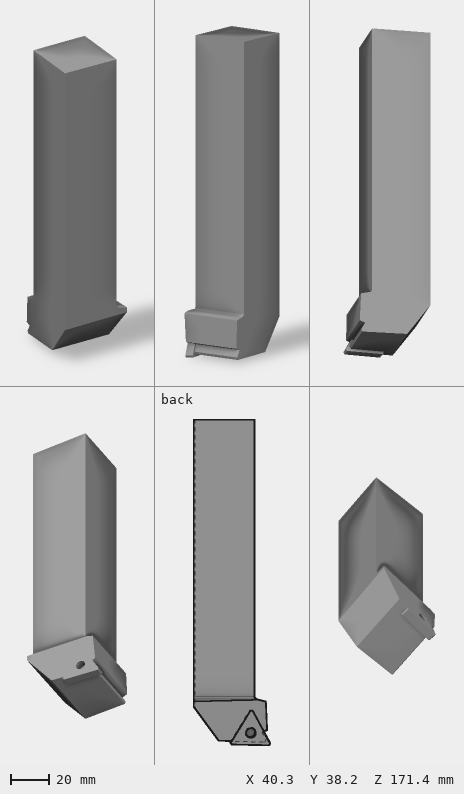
import cadquery as cq
import math

total_height = 171.4
shank_width = 32.0
shank_depth = 31.7
side_draft = 0.5

head_overhang = 6.0
head_top = 23.1
head_lean = 0.7
shoulder_angle = 14.0
shoulder_radius = 1.5
flank_foot = 8.0
head_bottom = 1.9
heel_x = 18.8
heel_z = 2.4
chamfer_top = 20.4
notch_x = -3.8
notch_z = 7.0
nose_x = -5.8
nose_z = 3.3
toe_x = -5.3

back_reach = 38.2
slope_x = 0.1
slope_z = 0.09
stock_depth = 51.4

insert_thickness = 4.6
insert_left = -8.9
insert_side = 22.1
corner_flat = 1.2
insert_rise = 0.02
insert_hole = 5.1

shoulder_slope = math.tan(math.radians(shoulder_angle))


def seat_depth(x, z):
    """Y of the seat plane above a point in XZ."""
    return back_reach + slope_x * (x - shank_width) + slope_z * (z - head_top)


def seat_plane():
    """Workplane on the seat, facing -Y, with local x along the insert's lower edge."""
    corner_z = -corner_flat * insert_rise
    return cq.Plane(
        origin=(insert_left, seat_depth(insert_left, corner_z), corner_z),
        xDir=(1, slope_x + slope_z * insert_rise, insert_rise),
        normal=(slope_x, -1, slope_z),
    )


def side_outline():
    """Shank and head outline in XZ, extruded through the rough depth."""
    corner_z = head_top + head_overhang * shoulder_slope
    outline = (
        cq.Workplane("XZ")
        .moveTo(0, total_height)
        .lineTo(0, corner_z)
        .lineTo(-head_overhang, head_top)
        .lineTo(-head_overhang - head_lean, flank_foot)
        .lineTo(notch_x, notch_z)
        .lineTo(nose_x, nose_z)
        .lineTo(toe_x, head_bottom)
        .lineTo(heel_x, heel_z)
        .lineTo(shank_width, chamfer_top)
        .lineTo(shank_width, total_height)
        .close()
        .extrude(-stock_depth)
    )
    shoulder_corner = cq.selectors.NearestToPointSelector((0, stock_depth / 2, corner_z))
    return outline.edges(shoulder_corner).fillet(shoulder_radius)


def back_outline():
    """Depth outline in YZ: slim shank above a ramp that runs out over the head."""
    corner_z = head_top + (back_reach - shank_depth) * shoulder_slope
    ramp_end_z = corner_z - (stock_depth - shank_depth) * shoulder_slope
    outline = (
        cq.Workplane("YZ", origin=(-stock_depth, 0, 0))
        .moveTo(0, 0)
        .lineTo(0, total_height)
        .lineTo(shank_depth, total_height)
        .lineTo(shank_depth, corner_z)
        .lineTo(stock_depth, ramp_end_z)
        .lineTo(stock_depth, 0)
        .close()
        .extrude(2 * stock_depth)
    )
    shoulder_corner = cq.selectors.NearestToPointSelector((0, shank_depth, corner_z))
    return outline.edges(shoulder_corner).fillet(shoulder_radius)


def draft_wedge():
    """Sliver removed from the +X side so that it narrows toward the front."""
    return (
        cq.Workplane("XY")
        .moveTo(shank_width - side_draft, 0)
        .lineTo(shank_width, 0)
        .lineTo(shank_width, shank_depth)
        .close()
        .extrude(total_height)
    )


def seat_trim():
    """Slab behind the seat plane, large enough to clear the back of the head."""
    return (
        cq.Workplane(seat_plane())
        .rect(4 * stock_depth, 2 * stock_depth)
        .extrude(-stock_depth)
    )


def insert_blank():
    """Equilateral plate with flattened corners, in front of the seat plane."""
    cos60 = math.cos(math.radians(60))
    sin60 = math.sin(math.radians(60))
    apex_x = insert_side / 2
    apex_z = insert_side * sin60
    return (
        cq.Workplane(seat_plane())
        .moveTo(corner_flat, 0)
        .lineTo(insert_side - corner_flat, 0)
        .lineTo(insert_side - corner_flat * cos60, corner_flat * sin60)
        .lineTo(apex_x + corner_flat * cos60, apex_z - corner_flat * sin60)
        .lineTo(apex_x - corner_flat * cos60, apex_z - corner_flat * sin60)
        .lineTo(corner_flat * cos60, corner_flat * sin60)
        .close()
        .extrude(insert_thickness)
    )


def center_bore():
    """Bore through the middle of the insert, square to the seat plane."""
    center_height = insert_side / (2 * math.sqrt(3))
    return (
        cq.Workplane(seat_plane())
        .center(insert_side / 2, center_height)
        .circle(insert_hole / 2)
        .extrude(insert_thickness)
    )


def make_holder():
    stock = side_outline().intersect(back_outline())
    return stock.cut(draft_wedge()).cut(seat_trim()).cut(insert_blank())


def make_insert():
    return insert_blank().cut(center_bore())


holder = make_holder()
insert = make_insert()
result = cq.Compound.makeCompound([holder.val(), insert.val()])